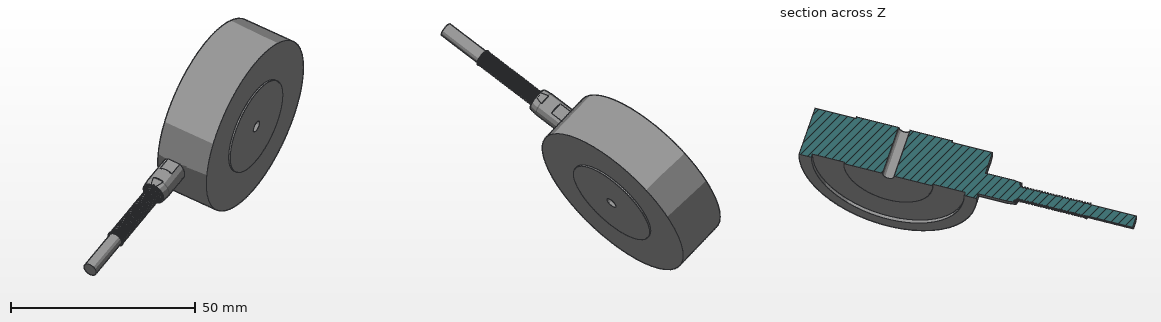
import cadquery as cq
import math

overall_length = 93.46

body_diameter = 50.29
body_thickness = 15.49
rear_boss_diameter = 27.18
rear_boss_height = 0.51
center_hole_diameter = 3.17

recess_outer_diameter = 43.18
recess_inner_diameter = 25.15
recess_depth = 1.02
land_setback = 0.51

body_radius = body_diameter / 2
fitting_x = 5.08
fitting_diameter = 7.06
fitting_length = 10.4
fitting_embed = 2.0
taper_length = 2.3
taper_end_diameter = 6.55
wrench_flat_width = 5.97
wrench_flat_length = 3.94
taper_flat_width = 6.4
taper_flat_length = 2.6

mouth_diameter = 5.79
mouth_depth = 0.5
root_flange_diameter = 5.33
root_step_diameter = 5.08
root_flange_setback = 0.2

cable_diameter = 3.94
cable_reach = overall_length - body_diameter
rib_diameter = 4.52
rib_pitch = 0.809
rib_root_width = 0.6
rib_crest_width = 0.25
rib_count = 24
collar_diameter = 4.8
collar_width = 0.3


def disc(diameter, x_start, thickness):
    """Cylinder along +X, centred on the axis of the body."""
    return cq.Workplane("YZ", origin=(x_start, 0, 0)).circle(diameter / 2).extrude(thickness)


def rod(diameter, start, length):
    """Cylinder along -Y on the cable axis, starting at a distance from the rim."""
    origin = (fitting_x, -body_radius - start, 0)
    return cq.Workplane("XZ", origin=origin).circle(diameter / 2).extrude(length)


def make_body():
    """Disc with a rear boss and a recessed front face around a lower central land."""
    body = disc(body_diameter, 0, body_thickness)
    body = body.union(disc(rear_boss_diameter, body_thickness, rear_boss_height))
    recess = disc(recess_outer_diameter, 0, recess_depth)
    land = disc(recess_inner_diameter, land_setback, recess_depth - land_setback)
    return body.cut(recess.cut(land))


def cut_flats(fitting, width, start, length):
    """Cut two parallel flats, one above and one below the cable axis."""
    depth = fitting_diameter - width
    for side in (1, -1):
        cutter = cq.Workplane("XY").box(fitting_diameter, length, depth).translate(
            (fitting_x, -body_radius - start - length / 2, side * (width + depth) / 2)
        )
        fitting = fitting.cut(cutter)
    return fitting


def make_fitting():
    """Round fitting with wrench flats, a flatted taper and an open mouth."""
    taper_angle = math.degrees(math.atan2((fitting_diameter - taper_end_diameter) / 2, taper_length))
    straight_length = fitting_length - taper_length
    fitting = rod(fitting_diameter, -fitting_embed, fitting_embed + straight_length)
    fitting = fitting.faces("<Y").wires().toPending().extrude(taper_length, taper=taper_angle)
    fitting = cut_flats(fitting, wrench_flat_width, -fitting_embed, fitting_embed + wrench_flat_length)
    fitting = cut_flats(fitting, taper_flat_width, fitting_length - taper_flat_length, taper_flat_length)
    return fitting.cut(rod(mouth_diameter, fitting_length - mouth_depth, mouth_depth))


def make_rib(start):
    """Ring with sloped sides, narrower at its crest than at the cable."""
    root_radius = cable_diameter / 2
    crest_radius = rib_diameter / 2
    flank = (rib_root_width - rib_crest_width) / 2
    profile = [
        (0, 0),
        (root_radius, 0),
        (crest_radius, -flank),
        (crest_radius, -flank - rib_crest_width),
        (root_radius, -rib_root_width),
        (0, -rib_root_width),
    ]
    plane = cq.Workplane("XY", origin=(fitting_x, -body_radius - start, 0))
    return plane.polyline(profile).close().revolve(360, (0, 0, 0), (0, 1, 0))


def make_strain_relief():
    """Stepped root inside the mouth, a row of ribs and an end collar."""
    mouth_floor = fitting_length - mouth_depth
    relief = rod(root_step_diameter, mouth_floor, mouth_depth)
    relief = relief.union(rod(root_flange_diameter, mouth_floor, mouth_depth - root_flange_setback))
    for index in range(rib_count):
        relief = relief.union(make_rib(fitting_length + index * rib_pitch))
    collar_start = fitting_length + rib_count * rib_pitch
    return relief.union(rod(collar_diameter, collar_start, collar_width))


cable = rod(cable_diameter, 0, cable_reach)
center_hole = disc(center_hole_diameter, 0, body_thickness + rear_boss_height)
result = make_body().union(make_fitting()).union(cable).union(make_strain_relief()).cut(center_hole)